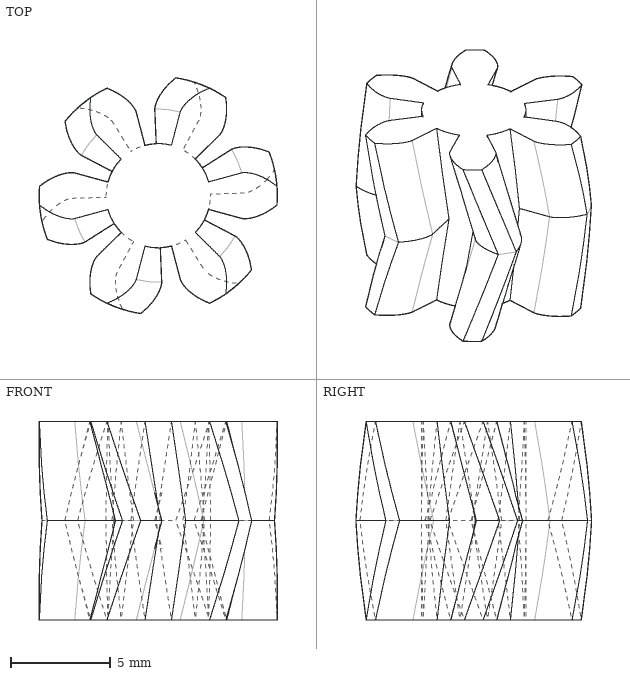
import cadquery as cq
import math

tooth_count = 6
module = 1.5
pressure_angle = math.radians(14.5)
helix_angle = math.radians(15)
face_width = 10.0
dedendum_factor = 1.25
involute_point_count = 7
tooth_embed = 0.6

pitch_radius = module * tooth_count / 2
base_radius = pitch_radius * math.cos(pressure_angle)
tip_radius = pitch_radius + module
root_radius = pitch_radius - dedendum_factor * module
hub_radius = root_radius - tooth_embed

half_width = face_width / 2
half_twist = math.degrees(half_width * math.tan(helix_angle) / pitch_radius)
tooth_pitch = 2 * math.pi / tooth_count
tip_roll = math.sqrt((tip_radius / base_radius) ** 2 - 1)


def involute_angle(roll):
    """Polar angle swept by the involute after unrolling by the given tangent ratio."""
    return roll - math.atan(roll)


base_half_angle = tooth_pitch / 4 + involute_angle(math.tan(pressure_angle))


def polar(radius, angle):
    return (radius * math.cos(angle), radius * math.sin(angle))


def flank_points(tooth_angle, side):
    """Involute points from base to tip; side is -1 or +1 for the two flanks."""
    points = []
    for step in range(involute_point_count):
        roll = tip_roll * step / (involute_point_count - 1)
        radius = base_radius * math.sqrt(1 + roll ** 2)
        half_angle = base_half_angle - involute_angle(roll)
        points.append(polar(radius, tooth_angle + side * half_angle))
    return points


def gear_profile():
    """Closed transverse outline: radial lower flanks, involute upper flanks, tip and hub arcs."""
    profile = cq.Workplane("XY").moveTo(*polar(hub_radius, -base_half_angle))
    for tooth in range(tooth_count):
        tooth_angle = tooth * tooth_pitch
        rising = flank_points(tooth_angle, -1)
        falling = flank_points(tooth_angle, 1)[::-1]
        next_tooth_start = tooth_angle + tooth_pitch - base_half_angle
        profile = (
            profile.lineTo(*rising[0])
            .spline(rising[1:], includeCurrent=True)
            .threePointArc(polar(tip_radius, tooth_angle), falling[0])
            .spline(falling[1:], includeCurrent=True)
            .lineTo(*polar(hub_radius, tooth_angle + base_half_angle))
            .threePointArc(
                polar(hub_radius, tooth_angle + tooth_pitch / 2),
                polar(hub_radius, next_tooth_start),
            )
        )
    return profile.close()


def herringbone_teeth():
    """Two mirrored helical halves that meet at mid-width; the end faces have a tooth on +X."""
    lower_half = gear_profile().twistExtrude(half_width, half_twist)
    upper_half = lower_half.mirror("XY", (0, 0, half_width))
    return lower_half.union(upper_half)


def core():
    """Plain root cylinder that forms the floor of the gaps between teeth."""
    return cq.Workplane("XY").circle(root_radius).extrude(face_width)


result = core().union(herringbone_teeth())